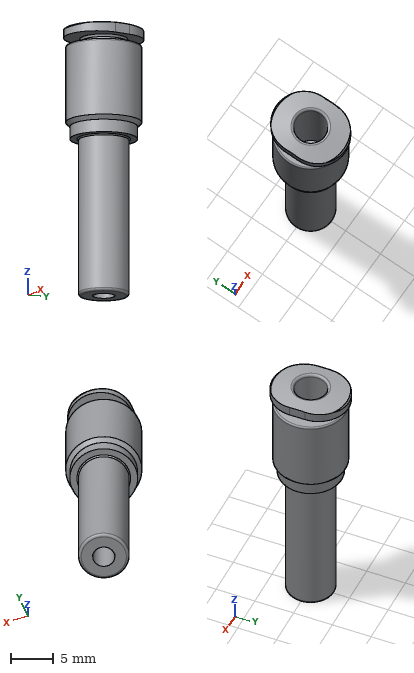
import cadquery as cq

total_height = 32.6
stem_diameter = 6.0
stem_end_round = 0.33
stem_root_flare = 0.15
collar_diameter = 8.0
collar_bottom = 18.97
body_diameter = 9.0
body_top_diameter = 8.6
body_base = 20.47
body_top = 30.2
neck_diameter = 5.4
neck_flare_width = 0.13
neck_flare_height = 0.3

button_length = 9.8
button_width = 7.82
button_bottom = 31.07
button_crown_drop = 0.45
button_edge_width = 0.2
button_edge_drop = 0.2

through_diameter = 2.6
socket_diameter = 4.0
socket_mouth_diameter = 4.65
socket_bottom = body_base

stem_radius = stem_diameter / 2
collar_radius = collar_diameter / 2
body_radius = body_diameter / 2
neck_radius = neck_diameter / 2
button_radius = button_length / 2
socket_radius = socket_diameter / 2
mouth_radius = socket_mouth_diameter / 2
body_base_chamfer = body_radius - collar_radius
body_top_round = body_radius - body_top_diameter / 2


def make_barrel():
    """Stem, collar, body and neck as one turned solid."""
    return (
        cq.Workplane("XZ")
        .lineTo(stem_radius - stem_end_round, 0)
        .radiusArc((stem_radius, stem_end_round), -stem_end_round)
        .lineTo(stem_radius, collar_bottom - stem_root_flare)
        .lineTo(stem_radius + stem_root_flare, collar_bottom)
        .lineTo(collar_radius, collar_bottom)
        .lineTo(collar_radius, body_base)
        .lineTo(body_radius, body_base + body_base_chamfer)
        .lineTo(body_radius, body_top - body_top_round)
        .radiusArc((body_radius - body_top_round, body_top), -body_top_round)
        .lineTo(neck_radius, body_top)
        .lineTo(neck_radius, button_bottom - neck_flare_height)
        .lineTo(neck_radius + neck_flare_width, button_bottom)
        .lineTo(0, button_bottom)
        .close()
        .revolve(360, (0, 0), (0, 1))
    )


def make_button():
    """Conical disc with a bevelled rim, trimmed to an oval."""
    edge_top = total_height - button_crown_drop
    profile = [
        (0, button_bottom),
        (button_radius, button_bottom),
        (button_radius, edge_top - button_edge_drop),
        (button_radius - button_edge_width, edge_top),
        (mouth_radius, total_height),
        (0, total_height),
    ]
    disc = cq.Workplane("XZ").polyline(profile).close().revolve(360, (0, 0), (0, 1))
    oval = (
        cq.Workplane("XY", origin=(0, 0, button_bottom))
        .slot2D(button_length, button_width, 90)
        .extrude(total_height - button_bottom)
    )
    return disc.intersect(oval)


def make_bore():
    """Narrow through hole widening into a tube socket with a rounded mouth."""
    narrow_radius = through_diameter / 2
    mouth_round = mouth_radius - socket_radius
    mouth_start = total_height - mouth_round
    return (
        cq.Workplane("XZ")
        .lineTo(narrow_radius, 0)
        .lineTo(narrow_radius, socket_bottom)
        .lineTo(socket_radius, socket_bottom)
        .lineTo(socket_radius, mouth_start)
        .radiusArc((mouth_radius, total_height), mouth_round)
        .lineTo(0, total_height)
        .close()
        .revolve(360, (0, 0), (0, 1))
    )


result = make_barrel().union(make_button()).cut(make_bore())